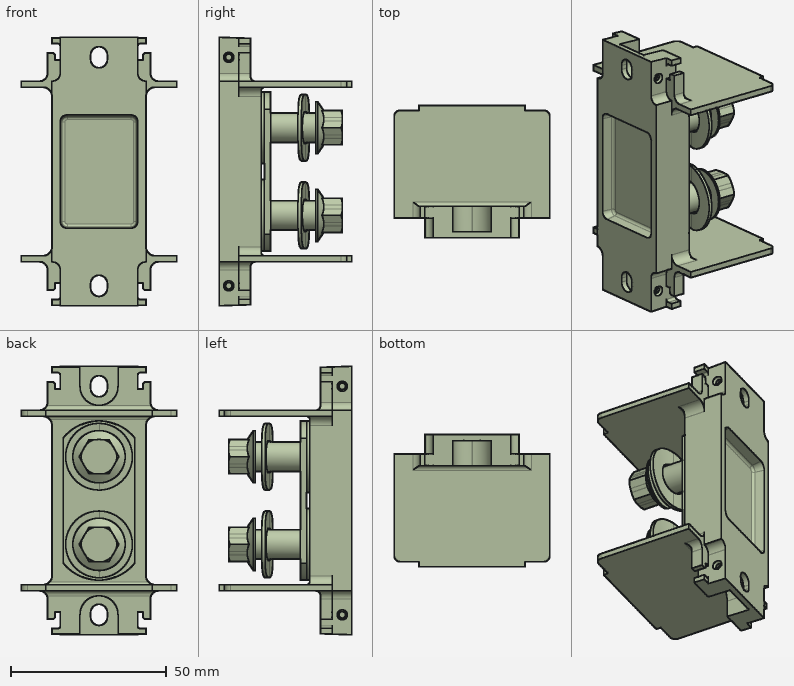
import cadquery as cq
import math

ENDS = (1, -1)
SIDES = (1, -1)

bar_height = 86.2
bar_half_width = 15.1
bar_depth = 13.5
end_half_width = 12.45
end_draft = 2.0

fin_thickness = 2.0
fin_top = 29.0
fin_bottom = fin_top - fin_thickness
fin_half_width = 25.0
fin_front = 6.3
fin_back = 42.5
fin_tab_half_width = 17.0
fin_tab_length = 1.6
fin_corner_radius = 2.0
upper_side_fillet = 2.45
upper_back_fillet = 1.5
lower_side_fillet = 2.9
lower_back_fillet = 1.0

bracket_back = 10.05
hook_half_width = 16.55
hook_top = 38.05
hook_inner = 14.05
hook_chamfer = 0.6
hook_ledge = 35.8
ear_bottom = 41.0
ear_root_fillet = 0.8

mount_z = 36.65
mount_hole_radius = 2.65
mount_hole_height = 6.7
channel_half_width = 6.1
channel_corner_radius = 6.0
channel_floor = 2.0
side_hole_y = 3.05
side_hole_radius = 1.05
side_hole_rim_radius = 1.6
side_hole_depth = 2.0
side_hole_countersink = 1.0

pocket_half_width = 12.45
pocket_half_height = 18.15
pocket_depth = 4.0
pocket_corner_radius = 2.2
pocket_draft = 9.0
pocket_floor_fillet = 0.95

stud_z = 14.05
stud_radius = 4.75
pad_radius = 11.5
pad_thickness = 1.0
plate_thickness = 2.0
plate_half_width = 11.5
plate_half_height = stud_z + pad_radius
plate_end_rise = 5.5
plate_front = bar_depth + pad_thickness
plate_back = plate_front + plate_thickness

flange_front = 30.95
flange_rim_thickness = 0.6
flange_radius = 8.4
cone_top_radius = 4.9
cone_height = 2.4
head_back = 39.45
hex_apothem = 5.5
head_round_radius = 5.54
head_end_radius = 5.7
head_end_chamfer_angle = 30.0

washer_radius = 10.7
washer_hole_radius = 5.2
washer_thickness = 1.1
washer_front = 25.25
washer_wave = 2.55


def box(x_range, y_range, z_range):
    """Box between two limits on each axis."""
    sizes = [limits[1] - limits[0] for limits in (x_range, y_range, z_range)]
    corner = (x_range[0], y_range[0], z_range[0])
    return cq.Workplane("XY").box(*sizes, centered=False).translate(corner)


def upright(y):
    """Sketch plane facing -Y at depth y; extrude by a negative length to go toward +Y."""
    return cq.Workplane("XZ", origin=(0, y, 0))


def disc(radius, y_range, z):
    """Cylinder along Y."""
    return upright(y_range[0]).center(0, z).circle(radius).extrude(y_range[0] - y_range[1])


def fillet_strip(plane, corner, toward, radius, length):
    """Material that rounds an inside corner, extruded from the plane along its normal."""
    u, v = corner
    du, dv = toward
    u_end = u + du * radius
    v_end = v + dv * radius
    bulge = radius * (1 - math.sqrt(0.5))
    return (
        plane.moveTo(u, v).lineTo(u_end, v)
        .threePointArc((u + du * bulge, v + dv * bulge), (u, v_end))
        .close().extrude(length)
    )


def mirrored_in_z(shape):
    return shape.union(shape.mirror("XY"))


def fin():
    """Upper cross fin with rounded back corners and a shallow tab at the back."""
    shoulder = fin_back - fin_tab_length
    heights = (fin_bottom, fin_top)
    plate = box((-fin_half_width, fin_half_width), (fin_front, shoulder), heights)
    plate = plate.edges("|Z and >Y").fillet(fin_corner_radius)
    tab = box((-fin_tab_half_width, fin_tab_half_width), (fin_front, fin_back), heights)
    return plate.union(tab)


def fin_root(z, up, half_width, back, side_radius, back_radius):
    """Rounded corners where one face of the upper fin meets a block's back and sides."""
    full = half_width + side_radius
    back_strip = fillet_strip(
        cq.Workplane("YZ", origin=(-full, 0, 0)), (back, z), (1, up), back_radius, 2 * full
    )
    behind_block = box(
        (-half_width, half_width), (back, back + back_radius), sorted((z, z + up * back_radius))
    )
    root = back_strip.intersect(behind_block)
    for side in SIDES:
        corner = (side * half_width, z)
        beside = fillet_strip(upright(fin_front), corner, (side, up), side_radius, fin_front - back)
        mitre = fillet_strip(upright(back), corner, (side, up), side_radius, -back_radius)
        root = root.union(beside).union(mitre.intersect(back_strip))
    return root


def fin_roots():
    """Roots on both faces of the upper fin: the bracket above it and the bar below it."""
    above = fin_root(fin_top, 1, hook_half_width, bracket_back, upper_side_fillet, upper_back_fillet)
    below = fin_root(fin_bottom, -1, bar_half_width, bar_depth, lower_side_fillet, lower_back_fillet)
    return above.union(below)


def bracket():
    """Upper bracket: a wide block with a hook and an ear on each side."""
    top = bar_height / 2
    depth = fin_front - bracket_back
    shape = box((-end_half_width, end_half_width), (0, bracket_back), (fin_bottom, top))
    for side in SIDES:
        hook = (
            upright(fin_front).moveTo(0, fin_bottom)
            .lineTo(side * hook_half_width, fin_bottom)
            .lineTo(side * hook_half_width, hook_top)
            .lineTo(side * (hook_inner + hook_chamfer), hook_top)
            .lineTo(side * hook_inner, hook_top - hook_chamfer)
            .lineTo(side * hook_inner, hook_ledge)
            .lineTo(0, hook_ledge)
            .close().extrude(depth)
        )
        ear = box(sorted((0, side * bar_half_width)), (fin_front, bracket_back), (ear_bottom, top))
        ear_root = fillet_strip(
            upright(fin_front), (side * end_half_width, ear_bottom), (side, -1), ear_root_fillet, depth
        )
        shape = shape.union(hook).union(ear).union(ear_root)
    lean = bracket_back * math.tan(math.radians(end_draft))
    wedge = (
        cq.Workplane("YZ", origin=(-bar_half_width, 0, 0))
        .moveTo(0, top).lineTo(bracket_back, top).lineTo(bracket_back, top - lean)
        .close().extrude(2 * bar_half_width)
    )
    return shape.cut(wedge)


def shoulder_root(side):
    """Rounded corner where the narrow upper bar end widens to the full bar."""
    corner = (side * end_half_width, fin_top)
    return fillet_strip(upright(0), corner, (side, 1), upper_side_fillet, -fin_front)


def mounting_cuts():
    """Channel, mounting slot and countersunk blind side holes of the upper bar end."""
    top = bar_height / 2
    channel = box(
        (-channel_half_width, channel_half_width),
        (channel_floor, bracket_back), (mount_z - channel_half_width, top),
    )
    channel = channel.edges("|Y and <Z").fillet(channel_corner_radius)
    slot = (
        upright(0).center(0, mount_z)
        .slot2D(mount_hole_height, 2 * mount_hole_radius, 90).extrude(-bracket_back)
    )
    cuts = channel.union(slot)
    for side in SIDES:
        side_hole = (
            cq.Workplane("YZ", origin=(side * end_half_width, 0, 0)).center(side_hole_y, mount_z)
            .circle(side_hole_radius).extrude(-side * side_hole_depth)
        )
        countersink = cq.Solid.makeCone(
            side_hole_rim_radius, side_hole_radius, side_hole_countersink,
            cq.Vector(side * end_half_width, side_hole_y, mount_z), cq.Vector(-side, 0, 0),
        )
        cuts = cuts.union(side_hole).union(cq.Workplane(countersink))
    return cuts


def front_pocket():
    """Drafted front pocket with rounded corners and a rounded floor edge."""
    pocket = (
        upright(0)
        .sketch().rect(2 * pocket_half_width, 2 * pocket_half_height)
        .vertices().fillet(pocket_corner_radius).finalize()
        .extrude(-pocket_depth, taper=pocket_draft)
    )
    return pocket.faces(">Y").edges().fillet(pocket_floor_fillet)


def joining_plate():
    """Plate behind the pads, with a shallow arc at each end."""
    arc_start = plate_half_height - plate_end_rise
    return (
        upright(plate_front).moveTo(-plate_half_width, -arc_start)
        .lineTo(-plate_half_width, arc_start)
        .threePointArc((0, plate_half_height), (plate_half_width, arc_start))
        .lineTo(plate_half_width, -arc_start)
        .threePointArc((0, -plate_half_height), (-plate_half_width, -arc_start))
        .close().extrude(-plate_thickness)
    )


def stud(z):
    """Pad, shank and flanged hexagon head of one terminal."""
    pad = disc(pad_radius, (bar_depth, plate_front), z)
    shank = disc(stud_radius, (plate_back, flange_front), z)
    cone_base = flange_front + flange_rim_thickness
    flange = disc(flange_radius, (flange_front, cone_base), z)
    cone = cq.Workplane(cq.Solid.makeCone(
        flange_radius, cone_top_radius, cone_height, cq.Vector(0, cone_base, z), cq.Vector(0, 1, 0)
    ))
    corner_radius = hex_apothem / math.cos(math.pi / 6)
    hexagon = (
        upright(flange_front).center(0, z)
        .polygon(6, 2 * corner_radius).extrude(flange_front - head_back)
    )
    chamfer_length = (corner_radius - head_end_radius) * math.tan(math.radians(head_end_chamfer_angle))
    chamfer_start = head_back - chamfer_length
    head_end = cq.Workplane(cq.Solid.makeCone(
        corner_radius, head_end_radius, chamfer_length,
        cq.Vector(0, chamfer_start, z), cq.Vector(0, 1, 0),
    ))
    envelope = disc(corner_radius, (flange_front, chamfer_start), z).union(head_end)
    hexagon = hexagon.intersect(envelope)
    rounding = disc(head_round_radius, (flange_front, head_back), z)
    return pad.union(shank).union(flange).union(cone).union(hexagon).union(rounding)


def make_housing():
    """Housing with its fins, brackets, joining plate and terminal studs."""
    bar = box((-bar_half_width, bar_half_width), (0, fin_front), (-fin_top, fin_top))
    core = box((-bar_half_width, bar_half_width), (0, bar_depth), (-fin_bottom, fin_bottom))
    upper_end = bracket().union(fin()).union(fin_roots())
    for side in SIDES:
        upper_end = upper_end.union(shoulder_root(side))
    body = bar.union(core).union(mirrored_in_z(upper_end))
    body = body.cut(mirrored_in_z(mounting_cuts())).cut(front_pocket())
    body = body.union(joining_plate())
    for end in ENDS:
        body = body.union(stud(end * stud_z))
    return body


def make_washer(z):
    """Round washer bent into an S across X: its -X side lies back, its +X side forward."""
    drop = washer_wave / 2
    middle = washer_front + drop
    arc_radius = (washer_radius ** 2 + drop ** 2) / (2 * drop)
    half = washer_radius / 2
    sag = arc_radius - math.sqrt(arc_radius ** 2 - half ** 2)
    low = washer_front
    high = washer_front + washer_wave
    thick = washer_thickness
    strip = (
        cq.Workplane("XY", origin=(0, 0, z - washer_radius))
        .moveTo(-washer_radius, high)
        .threePointArc((-half, high - sag), (0, middle))
        .threePointArc((half, low + sag), (washer_radius, low))
        .lineTo(washer_radius, low + thick)
        .threePointArc((half, low + sag + thick), (0, middle + thick))
        .threePointArc((-half, high - sag + thick), (-washer_radius, high + thick))
        .close().extrude(2 * washer_radius)
    )
    span = (low, high + thick)
    return strip.intersect(disc(washer_radius, span, z)).cut(disc(washer_hole_radius, span, z))


housing = make_housing()
washers = [make_washer(end * stud_z) for end in ENDS]

result = cq.Compound.makeCompound([housing.val(), *[washer.val() for washer in washers]])